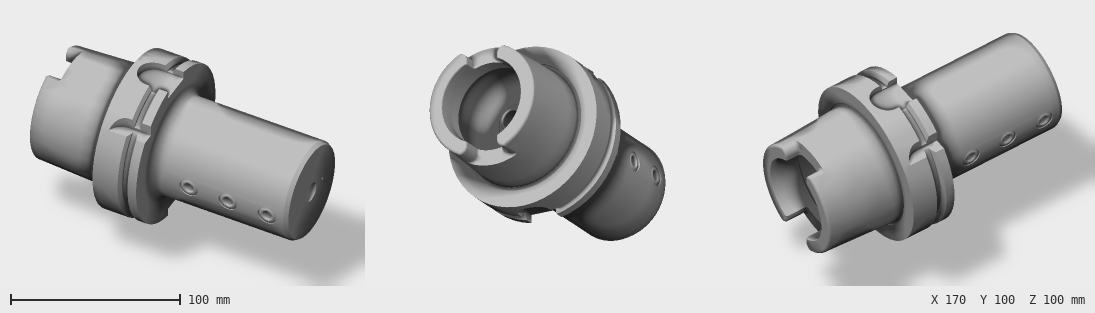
import cadquery as cq
import math

total_length = 170.0
flange_face_x = 50.0
flange_length = 29.0
flange_back_x = flange_face_x + flange_length
flange_radius = 100.0 / 2

taper_half_slope = 0.05
taper_end_x = 47.6
taper_end_radius = 75.3 / 2
taper_front_radius = taper_end_radius - taper_half_slope * taper_end_x
undercut_x = 48.3
undercut_radius = 37.5
rim_fillet = 1.7

groove_center_x = 70.0
groove_floor_width = 3.5
groove_mouth_width = 6.6
groove_radius = 45.9
groove_wall_top_radius = 47.1

relief_outer_radius = 39.6
relief_depth = 1.0
relief_fillet = 1.5

body_radius = 62.0 / 2
neck_fillet = 5.0
end_chamfer_length = 2.7
end_chamfer_height = 1.5
end_corner_fillet = 1.4

pin_height = 0.5
pin_radius = 0.8
pin_y = 13.3
body_end_x = total_length - pin_height

bore_radius = 53.0 / 2
bore_mouth_radius = 53.7 / 2
bore_mouth_length = 0.5
chamber_radius = 63.0 / 2
chamber_cone_x = 20.0
chamber_cone_angle = 60.0
chamber_floor_x = 47.8
chamber_floor_fillet = 6.8

nut_radius = 25.0 / 2
nut_height = 5.1
nut_chamfer = 1.0
tube_radius = 16.0 / 2
tube_height = 10.2
tube_chamfer = 0.7
coolant_hole_radius = 12.0 / 2

slot_half_width = 10.0
slot_flare_radius = 4.8
slot_flare_height = 32.0
slot_depths = {1: 10.0, -1: 15.0}
slot_floor_fillet = 1.7
slot_rim_fillet = 1.5

notch_radius = 10.0
notch_arc_x = 64.6
notch_floor = 43.7
corner_notch_floor = 31.5
corner_notch_wall = 31.5

screw_positions = (103.9, 129.9, 155.9)
screw_radius = 12.0 / 2
screw_tip_radius = 8.5 / 2
screw_chamfer = 0.8
screw_recess = 0.3
screw_foot_y = 15.3
socket_mouth_radius = 7.0 / 2
socket_radius = 6.0 / 2
socket_chamfer = 0.5
socket_depth = 1.4
socket_cone_depth = 3.4


def revolve_about_x(profile):
    return profile.close().revolve(360, (0, 0, 0), (1, 0, 0))


def make_outside():
    floor_half = groove_floor_width / 2
    mouth_half = groove_mouth_width / 2
    chamfer_start_x = body_end_x - end_chamfer_length
    profile = (
        cq.Workplane("XY")
        .moveTo(0, 0)
        .lineTo(0, taper_front_radius - rim_fillet)
        .radiusArc((rim_fillet, taper_front_radius + taper_half_slope * rim_fillet), rim_fillet)
        .lineTo(taper_end_x, taper_end_radius)
        .lineTo(undercut_x, undercut_radius)
        .lineTo(flange_face_x, undercut_radius)
        .lineTo(flange_face_x, flange_radius)
        .lineTo(groove_center_x - mouth_half, flange_radius)
        .lineTo(groove_center_x - floor_half, groove_wall_top_radius)
        .lineTo(groove_center_x - floor_half, groove_radius)
        .lineTo(groove_center_x + floor_half, groove_radius)
        .lineTo(groove_center_x + floor_half, groove_wall_top_radius)
        .lineTo(groove_center_x + mouth_half, flange_radius)
        .lineTo(flange_back_x, flange_radius)
        .lineTo(flange_back_x, body_radius + neck_fillet)
        .radiusArc((flange_back_x + neck_fillet, body_radius), -neck_fillet)
        .lineTo(chamfer_start_x, body_radius)
        .lineTo(body_end_x, body_radius - end_chamfer_height)
        .lineTo(body_end_x, 0)
    )
    chamfer_corner = cq.selectors.NearestToPointSelector((chamfer_start_x, 0, 0))
    return revolve_about_x(profile).edges(chamfer_corner).fillet(end_corner_fillet)


def make_end_pin():
    pin_base = cq.Workplane("YZ", origin=(body_end_x, pin_y, 0))
    return pin_base.circle(pin_radius).extrude(pin_height)


def make_relief_ring():
    floor_x = flange_face_x + relief_depth
    profile = (
        cq.Workplane("XY")
        .moveTo(flange_face_x, undercut_radius)
        .lineTo(floor_x - relief_fillet, undercut_radius)
        .radiusArc((floor_x, undercut_radius + relief_fillet), -relief_fillet)
        .lineTo(floor_x, relief_outer_radius)
        .lineTo(flange_face_x, relief_outer_radius)
    )
    return revolve_about_x(profile)


def make_chamber():
    cone_length = (chamber_radius - bore_radius) / math.tan(math.radians(chamber_cone_angle))
    profile = (
        cq.Workplane("XY")
        .moveTo(0, 0)
        .lineTo(0, bore_mouth_radius)
        .lineTo(bore_mouth_length, bore_radius)
        .lineTo(chamber_cone_x, bore_radius)
        .lineTo(chamber_cone_x + cone_length, chamber_radius)
        .lineTo(chamber_floor_x - chamber_floor_fillet, chamber_radius)
        .radiusArc((chamber_floor_x, chamber_radius - chamber_floor_fillet), chamber_floor_fillet)
        .lineTo(chamber_floor_x, 0)
    )
    return revolve_about_x(profile)


def make_coolant_tube():
    nut_face_x = chamber_floor_x - nut_height
    tube_face_x = chamber_floor_x - tube_height
    profile = (
        cq.Workplane("XY")
        .moveTo(chamber_floor_x, 0)
        .lineTo(chamber_floor_x, nut_radius)
        .lineTo(nut_face_x + nut_chamfer, nut_radius)
        .lineTo(nut_face_x, nut_radius - nut_chamfer)
        .lineTo(nut_face_x, tube_radius)
        .lineTo(tube_face_x + tube_chamfer, tube_radius)
        .lineTo(tube_face_x, tube_radius - tube_chamfer)
        .lineTo(tube_face_x, 0)
    )
    return revolve_about_x(profile)


def make_driving_slot(side):
    """Slot with flared upper walls and a filleted floor; side is +1 for +Z and -1 for -Z."""
    flare_start = slot_flare_height - slot_flare_radius
    flare_width = slot_half_width + slot_flare_radius
    outer_width = 2 * slot_half_width
    slot = (
        cq.Workplane("YZ")
        .moveTo(-slot_half_width, 0)
        .lineTo(-slot_half_width, flare_start)
        .radiusArc((-flare_width, slot_flare_height), -slot_flare_radius)
        .lineTo(-outer_width, slot_flare_height)
        .lineTo(-outer_width, taper_end_radius)
        .lineTo(outer_width, taper_end_radius)
        .lineTo(outer_width, slot_flare_height)
        .lineTo(flare_width, slot_flare_height)
        .radiusArc((slot_half_width, flare_start), -slot_flare_radius)
        .lineTo(slot_half_width, 0)
        .close()
        .extrude(slot_depths[side])
        .faces(">X")
        .edges()
        .fillet(slot_floor_fillet)
    )
    plate_size = 2 * flange_radius
    front_plate = cq.Workplane("YZ").rect(plate_size, plate_size).extrude(-slot_rim_fillet)
    mouth_outline = cq.selectors.BoxSelector(
        (-rim_fillet / 10, -2 * outer_width, -plate_size / 4),
        (rim_fillet / 10, 2 * outer_width, plate_size / 2 - 1.7),
    )
    slot = front_plate.union(slot).edges(mouth_outline).fillet(slot_rim_fillet)
    return slot if side > 0 else slot.rotate((0, 0, 0), (1, 0, 0), 180)


def make_flange_notch(center_y, floor_z):
    """Notch open to the back of the flange, with a half-round front end, cut from floor_z outwards."""
    return (
        cq.Workplane("XY", origin=(notch_arc_x, center_y, floor_z))
        .moveTo(0, notch_radius)
        .threePointArc((-notch_radius, 0), (0, -notch_radius))
        .lineTo(flange_back_x - notch_arc_x, -notch_radius)
        .lineTo(flange_back_x - notch_arc_x, notch_radius)
        .close()
        .extrude(flange_radius)
    )


def make_screw_hole(position_x):
    """Blind hole in the -Y side that holds one screw."""
    hole = cq.Workplane("XZ", origin=(position_x, -screw_foot_y, 0))
    return hole.circle(screw_radius).extrude(body_radius)


def make_screw(position_x):
    """Screw in the -Y side with a chamfered end and a blind conical socket."""
    tip = body_radius - screw_recess
    profile = (
        cq.Workplane("XY")
        .moveTo(0, screw_foot_y)
        .lineTo(screw_radius, screw_foot_y)
        .lineTo(screw_radius, tip - screw_chamfer)
        .lineTo(screw_tip_radius, tip)
        .lineTo(socket_mouth_radius, tip)
        .lineTo(socket_radius, tip - socket_chamfer)
        .lineTo(socket_radius, tip - socket_depth)
        .lineTo(0, tip - socket_depth - socket_cone_depth)
        .close()
    )
    screw = profile.revolve(360, (0, 0, 0), (0, 1, 0))
    return screw.rotate((0, 0, 0), (1, 0, 0), 180).translate((position_x, 0, 0))


result = make_outside().cut(make_relief_ring()).cut(make_chamber()).union(make_coolant_tube())
for side in slot_depths:
    result = result.cut(make_driving_slot(side))
for turn in (0, 180):
    result = result.cut(make_flange_notch(0, notch_floor).rotate((0, 0, 0), (1, 0, 0), turn))
result = result.cut(make_flange_notch(-corner_notch_wall - notch_radius, corner_notch_floor))
for screw_x in screw_positions:
    result = result.cut(make_screw_hole(screw_x)).union(make_screw(screw_x))
coolant_hole = cq.Workplane("YZ").circle(coolant_hole_radius).extrude(total_length)
result = result.cut(coolant_hole).union(make_end_pin())